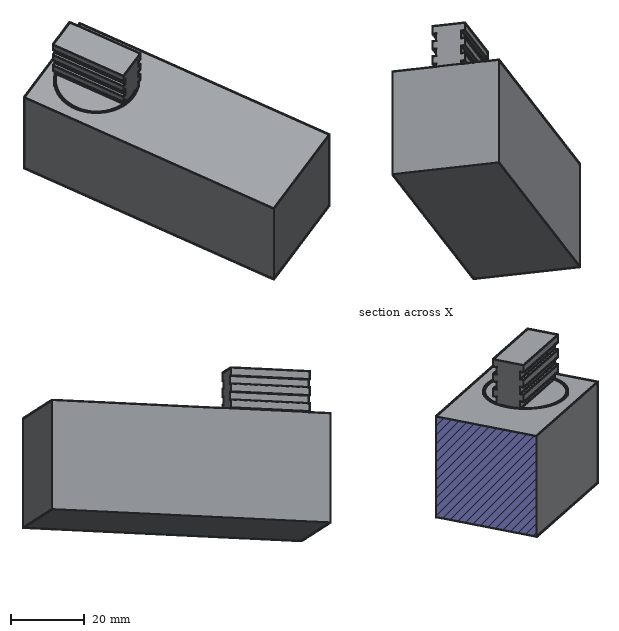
import cadquery as cq

body_length = 78.0
body_side = 30.0

plug_center_x = 14.0
pocket_diameter = 23.0
plug_diameter = 22.1
pocket_depth = 2.2

grip_length = 22.1
grip_width = 9.1
grip_height = 13.2
groove_depth = 1.0
band_count = 6
band_height = grip_height / band_count
neck_width = grip_width - 2 * groove_depth


def cylinder_below_top(diameter):
    """Cylinder filling the pocket depth, with its upper face at the body top."""
    return (
        cq.Workplane("XY", origin=(plug_center_x, 0, body_side - pocket_depth))
        .circle(diameter / 2)
        .extrude(pocket_depth)
    )


def grip_block(width, bottom_z, height):
    """Box centred over the plug and resting at bottom_z."""
    return (
        cq.Workplane("XY", origin=(plug_center_x, 0, bottom_z))
        .rect(grip_length, width)
        .extrude(height)
    )


body = cq.Workplane("XY").box(body_length, body_side, body_side, centered=(False, True, False))
body = body.cut(cylinder_below_top(pocket_diameter))
body = body.union(cylinder_below_top(plug_diameter))

grip = grip_block(neck_width, body_side, grip_height)
for band in range(1, band_count, 2):
    rib_bottom = body_side + band * band_height
    grip = grip.union(grip_block(grip_width, rib_bottom, band_height))

result = body.union(grip)